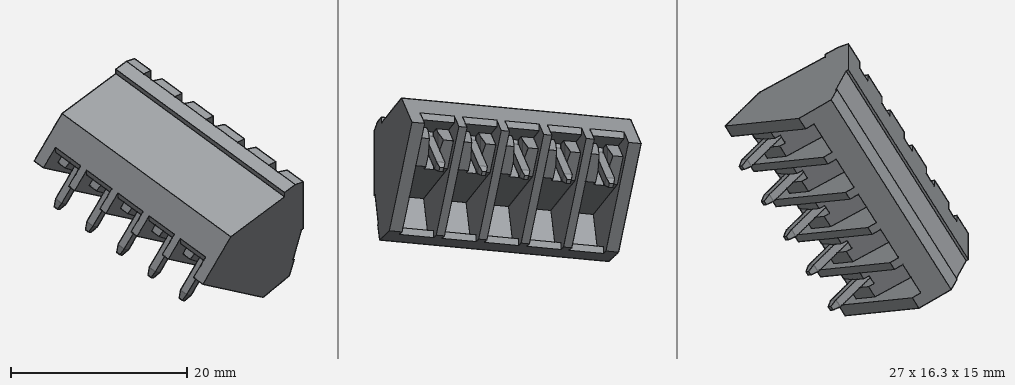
import cadquery as cq
import math


length = 27.0
height = 14.95
lip_depth = 3.05
lip_chamfer_depth = 1.32
lip_chamfer_drop = 0.57
top_height = 14.23
nose_depth = 16.23
nose_height = 9.72
back_ledge_height = 6.55
back_ledge_depth = 0.3
back_step_top = (1.67, 2.56)
back_step_bottom = (1.48, 2.45)
rear_corner = (2.27, 0.35)
clearance = 0.55

pole_count = 5
pole_pitch = 5.0
bay_width = 4.02

brow_depth = 14.28
brow_bottom = 10.85
block_inset = 2.3
block_recess = 1.0
cavity_top = 6.32
cavity_back_top = 1.08
cavity_back_bottom = 2.97
cavity_floor = 1.13
floor_end_depth = 5.4
floor_end_height = 0.92

pin_size = 1.0
pin_tip_size = 0.5
pin_axis_sum = 20.47
pin_shoulder_depth = 15.45
pin_tip_depth = 16.1
pin_bend_angle = 45.0
pin_bend_radius = 0.9
pin_root_depth = 9.72
slot_width = 1.1
flare_width = 1.65
flare_start_depth = 12.53

notch_width = 1.8
notch_floor = 12.42
notch_sag = 0.15
notch_taper = 7.0

root2 = math.sqrt(2)
pole_positions = [(i - (pole_count - 1) / 2) * pole_pitch for i in range(pole_count)]

nose_sum = nose_depth + nose_height
nose_gap = nose_depth - nose_height
block_sum = nose_sum - block_inset * root2
block_gap = nose_gap - block_recess * root2
ridge_depth = (block_sum + block_gap) / 2
ridge_height = (block_sum - block_gap) / 2

pin_front_sum = pin_axis_sum + pin_size / root2
bend_center_depth = pin_front_sum - brow_bottom + pin_bend_radius * root2
stem_front_depth = bend_center_depth - pin_bend_radius


def side_profile(points):
    """Closed side outline from (depth, height) points, on the plane X = 0."""
    return cq.Workplane("YZ").polyline([(-depth, z) for depth, z in points]).close()


def make_housing():
    """Solid body of the housing, without bays or notches."""
    outline = [
        (0, height - lip_chamfer_drop),
        (lip_chamfer_depth, height),
        (lip_depth, height),
        (lip_depth, top_height),
        (nose_sum - top_height, top_height),
        (nose_depth, nose_height),
        (nose_gap, 0),
        rear_corner,
        back_step_bottom,
        back_step_top,
        (back_ledge_depth, back_ledge_height),
        (0, back_ledge_height),
    ]
    return side_profile(outline).extrude(length / 2, both=True)


def make_bay():
    """Void of one bay, leaving the pin block standing inside it."""
    mouth_top = nose_sum - brow_depth
    outline = [
        (brow_depth, brow_bottom),
        (brow_depth, mouth_top),
        (nose_depth, mouth_top),
        (nose_depth, -clearance),
        (floor_end_depth, -clearance),
        (floor_end_depth, floor_end_height),
        (cavity_back_bottom, cavity_floor),
        (cavity_back_top, cavity_top),
        (block_gap + cavity_top, cavity_top),
        (ridge_depth, ridge_height),
        (block_sum - brow_bottom, brow_bottom),
    ]
    return side_profile(outline).extrude(bay_width / 2, both=True)


def make_pin_slot():
    """Vertical slot through the pin block, flared toward the front."""
    half_slot = slot_width / 2
    half_flare = flare_width / 2
    outline = [
        (-half_slot, -stem_front_depth),
        (half_slot, -stem_front_depth),
        (half_slot, -flare_start_depth),
        (half_flare, -ridge_depth),
        (-half_flare, -ridge_depth),
        (-half_slot, -flare_start_depth),
    ]
    slot = cq.Workplane("XY", origin=(0, 0, cavity_top)).polyline(outline).close()
    return slot.extrude(brow_bottom - cavity_top)


def bend_point(degrees):
    """Point (Y, Z) on the bend of the pin's front face, measured from its top."""
    angle = math.radians(degrees)
    depth = bend_center_depth - pin_bend_radius * math.cos(angle)
    return (-depth, brow_bottom - pin_bend_radius * math.sin(angle))


def make_pin():
    """Square pin with a bent root inside the housing and a tapered tip."""
    corner = pin_size / 2 / root2
    shoulder_height = pin_axis_sum - pin_shoulder_depth
    shank = (
        cq.Workplane("YZ")
        .moveTo(*bend_point(0))
        .threePointArc(bend_point(pin_bend_angle / 2), bend_point(pin_bend_angle))
        .lineTo(-pin_shoulder_depth - corner, shoulder_height + corner)
        .lineTo(-pin_shoulder_depth + corner, shoulder_height - corner)
        .lineTo(-pin_root_depth, pin_axis_sum - 2 * corner - pin_root_depth)
        .lineTo(-pin_root_depth, brow_bottom)
        .close()
        .extrude(pin_size / 2, both=True)
    )
    tip_plane = cq.Plane(
        origin=(0, -pin_shoulder_depth, shoulder_height),
        xDir=(1, 0, 0),
        normal=(0, -1, -1),
    )
    tip = (
        cq.Workplane(tip_plane)
        .rect(pin_size, pin_size)
        .workplane(offset=(pin_tip_depth - pin_shoulder_depth) * root2)
        .rect(pin_tip_size, pin_tip_size)
        .loft()
    )
    return shank.union(tip)


def make_notch():
    """Tapered notch with a dished floor, as deep as the lip chamfer."""
    half = notch_width / 2
    return (
        cq.Workplane("XZ")
        .moveTo(-half, height + clearance)
        .lineTo(-half, notch_floor + notch_sag)
        .threePointArc((0, notch_floor), (half, notch_floor + notch_sag))
        .lineTo(half, height + clearance)
        .close()
        .extrude(lip_chamfer_depth, taper=notch_taper)
    )


housing = make_housing()
bay = make_bay()
pin_slot = make_pin_slot()
notch = make_notch()
pin = make_pin()

for x in pole_positions:
    for void in (bay, pin_slot, notch):
        housing = housing.cut(void.translate((x, 0, 0)))
    housing = housing.union(pin.translate((x, 0, 0)))

result = housing